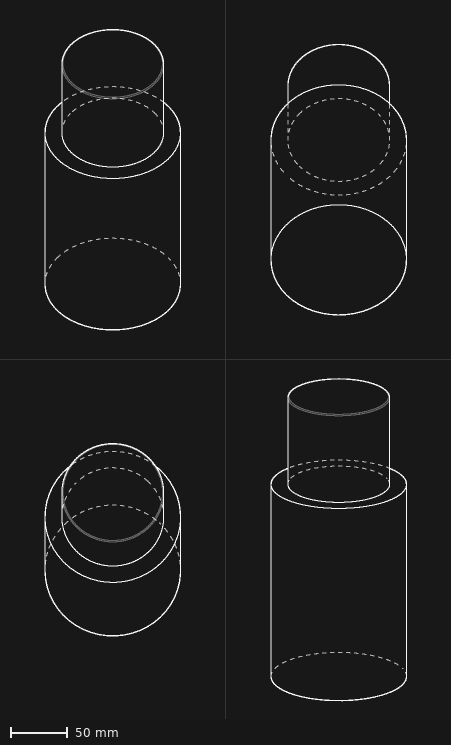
import cadquery as cq

total_height = 265.0
body_diameter = 120.0
body_height = 182.0
neck_diameter = 90.0
neck_height = total_height - body_height
rim_fillet = 1.0

body = cq.Workplane("XY").circle(body_diameter / 2).extrude(body_height)

neck = (
    cq.Workplane("XY")
    .workplane(offset=body_height)
    .circle(neck_diameter / 2)
    .extrude(neck_height)
    .faces(">Z")
    .fillet(rim_fillet)
)

result = body.union(neck)